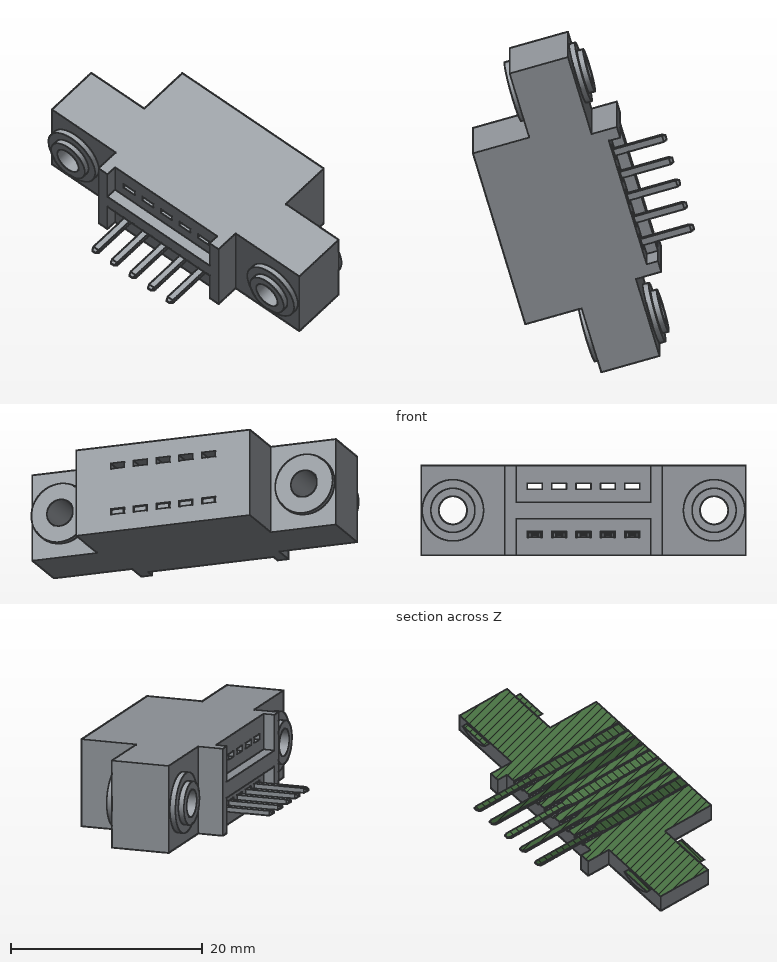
import cadquery as cq


LENGTH = 33.9
HEIGHT = 9.4
EAR_THICKNESS = 6.35
REAR_WIDTH = 19.4
REAR_DEPTH = 6.15
FRONT_WIDTH = 16.45
FRONT_DEPTH = 2.75
RECESS_WIDTH = 14.0
RECESS_DEPTH = 1.22
RIB_HEIGHT = 1.73

FRONT_Y = -FRONT_DEPTH
REAR_Y = EAR_THICKNESS + REAR_DEPTH
RECESS_FLOOR_Y = FRONT_Y + RECESS_DEPTH
RECESS_HEIGHT = (HEIGHT - RIB_HEIGHT) / 2
RECESS_Z = (HEIGHT + RIB_HEIGHT) / 4

PIN_COUNT = 5
PITCH = 2.55
ROW_SPACING = 5.02
SLOT_WIDTH = 1.53
SLOT_HEIGHT = 0.6

PIN_WIDTH = 0.7
PIN_THICKNESS = 0.5
PIN_REACH = 4.45
BLADE_WIDTH = 1.32
SHOULDER_INSET = 2.05
SHOULDER_LENGTH = 0.95
TIP_LENGTH = 0.35
TIP_WIDTH = 0.47
TIP_THICKNESS = 0.15

PIN_XS = [(i - (PIN_COUNT - 1) / 2) * PITCH for i in range(PIN_COUNT)]
LOWER_SLOT_Z = -ROW_SPACING / 2
PIN_Z = LOWER_SLOT_Z - (SLOT_HEIGHT - PIN_THICKNESS) / 2

BUSHING_SPACING = 27.25
FLANGE_DIAMETER = 6.4
BARREL_DIAMETER = 4.6
BORE_DIAMETER = 2.9
FLANGE_THICKNESS = 0.6
BARREL_PROJECTION = 0.6
FRONT_GAP = 0.1

BUSHING_XS = [-BUSHING_SPACING / 2, BUSHING_SPACING / 2]


def box_between(width, y_start, y_end, height, x=0.0, z=0.0):
    """Box centred on x and z, running from y_start to y_end."""
    center = (x, (y_start + y_end) / 2, z)
    return cq.Workplane("XY").box(width, y_end - y_start, height).translate(center)


def rod_between(diameter, y_start, y_end, x):
    """Cylinder along Y at mid height, running from y_start to y_end."""
    start = cq.Vector(x, y_start, 0)
    along_y = cq.Vector(0, 1, 0)
    return cq.Workplane(cq.Solid.makeCylinder(diameter / 2, y_end - y_start, start, along_y))


def make_housing():
    body = box_between(LENGTH, 0, EAR_THICKNESS, HEIGHT)
    body = body.union(box_between(REAR_WIDTH, EAR_THICKNESS, REAR_Y, HEIGHT))
    body = body.union(box_between(FRONT_WIDTH, FRONT_Y, 0, HEIGHT))

    for side in (1, -1):
        body = body.cut(box_between(RECESS_WIDTH, FRONT_Y, RECESS_FLOOR_Y, RECESS_HEIGHT, z=side * RECESS_Z))
        slot_z = side * ROW_SPACING / 2
        for x in PIN_XS:
            body = body.cut(box_between(SLOT_WIDTH, RECESS_FLOOR_Y, REAR_Y, SLOT_HEIGHT, x, slot_z))

    for x in BUSHING_XS:
        body = body.cut(rod_between(BARREL_DIAMETER, 0, EAR_THICKNESS, x))
    return body


def make_pin(x):
    """Contact with a wide blade in the slot, a sloping shoulder, a narrow tail and a tapered tip."""
    end_y = FRONT_Y - PIN_REACH
    tip_y = end_y + TIP_LENGTH
    shoulder_y = RECESS_FLOOR_Y + SHOULDER_INSET
    blade_y = shoulder_y + SHOULDER_LENGTH

    right_edge = [
        (TIP_WIDTH / 2, end_y),
        (PIN_WIDTH / 2, tip_y),
        (PIN_WIDTH / 2, shoulder_y),
        (BLADE_WIDTH / 2, blade_y),
        (BLADE_WIDTH / 2, REAR_Y),
    ]
    left_edge = [(-px, py) for px, py in reversed(right_edge)]
    plan = cq.Workplane("XY").polyline(right_edge + left_edge).close()
    plan = plan.extrude(PIN_THICKNESS / 2, both=True)

    top_edge = [
        (end_y, TIP_THICKNESS / 2),
        (tip_y, PIN_THICKNESS / 2),
        (REAR_Y, PIN_THICKNESS / 2),
    ]
    bottom_edge = [(py, -pz) for py, pz in reversed(top_edge)]
    side = cq.Workplane("YZ").polyline(top_edge + bottom_edge).close()
    side = side.extrude(BLADE_WIDTH / 2, both=True)

    return plan.intersect(side).translate((x, 0, PIN_Z))


def make_bushing(x):
    """Flanged sleeve through an ear, with a flange at each face and a bore right through."""
    front_flange_y = -FRONT_GAP - FLANGE_THICKNESS
    barrel_y = front_flange_y - BARREL_PROJECTION
    rear_y = EAR_THICKNESS + FLANGE_THICKNESS

    sleeve = rod_between(BARREL_DIAMETER, barrel_y, rear_y, x)
    sleeve = sleeve.union(rod_between(FLANGE_DIAMETER, front_flange_y, -FRONT_GAP, x))
    sleeve = sleeve.union(rod_between(FLANGE_DIAMETER, EAR_THICKNESS, rear_y, x))
    return sleeve.cut(rod_between(BORE_DIAMETER, barrel_y, rear_y, x))


housing = make_housing()
pins = [make_pin(x) for x in PIN_XS]
bushings = [make_bushing(x) for x in BUSHING_XS]

result = cq.Compound.makeCompound(
    [
        housing.solids().val(),
        *[pin.solids().val() for pin in pins],
        *[bushing.solids().val() for bushing in bushings],
    ]
)